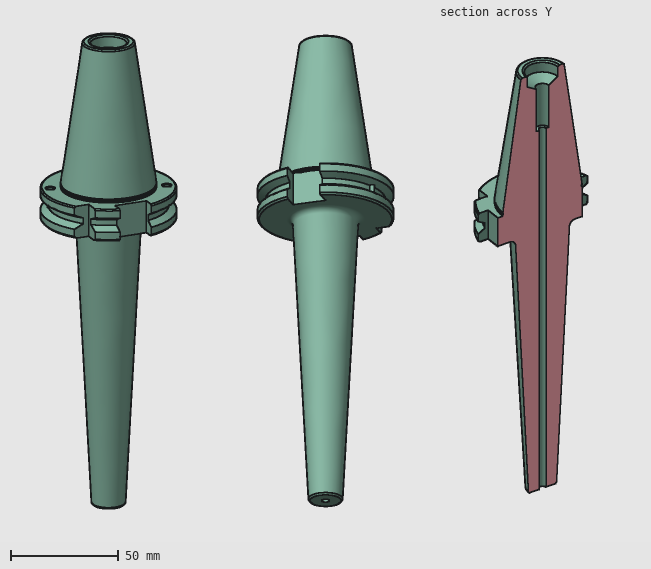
import cadquery as cq
import math


gauge_radius = 22.2
taper_top = 68.3
taper_slope = 7 / 48
taper_skirt = 1.5
relief_depth = 0.5
relief_width = 1.1
top_chamfer = 0.7

flange_radius = 31.7
flange_top = -3.5
flange_bottom = -19.2
flange_top_chamfer = 0.7
flange_bottom_chamfer = 1.0
groove_middle = -11.2
groove_floor_radius = 28.0
groove_floor_width = 2.7
groove_flank_angle = 30

slot_width = 16
left_slot_distance = 22.4
right_slot_distance = 25.1
notch_distance = 18.5

coolant_circle_radius = 27.2
coolant_hole_radius = 1.8
coolant_hole_chamfer = 0.5
coolant_hole_angles = (70, 250)
coolant_hole_bottom = groove_middle - groove_floor_width / 2

total_length = 228.5
nose_bottom = taper_top - total_length
nose_tip_radius = 8.0
nose_half_angle = 3
nose_root_fillet = 3.0
nose_chamfer_height = 1.0
nose_chamfer_width = 0.7

bore_mouth_radius = 9.4
bore_mouth_chamfer = 0.7
counterbore_radius = 8.5
counterbore_depth = 6.0
seat_radius = 6.9
seat_depth = 6.9
drill_point_half_angle = 59
pilot_radius = 3.5
pilot_chamfer = 0.5
pilot_depth = 32
channel_radius = 1.8


def flange_groove_points():
    """Groove profile from its upper to its lower rim, as (radius, z)."""
    floor_half = groove_floor_width / 2
    groove_depth = flange_radius - groove_floor_radius
    rim_half = floor_half + groove_depth * math.tan(math.radians(groove_flank_angle))
    return [
        (flange_radius, groove_middle + rim_half),
        (groove_floor_radius, groove_middle + floor_half),
        (groove_floor_radius, groove_middle - floor_half),
        (flange_radius, groove_middle - rim_half),
    ]


def turned_body():
    top_radius = gauge_radius - taper_top * taper_slope
    skirt_radius = gauge_radius + taper_skirt * taper_slope
    nose_slope = math.tan(math.radians(nose_half_angle))
    fillet_end = flange_bottom - nose_root_fillet
    fillet_end_radius = nose_tip_radius + (fillet_end - nose_bottom) * nose_slope
    fillet_start_radius = fillet_end_radius + nose_root_fillet
    fillet_inset = nose_root_fillet * (1 - math.sqrt(0.5))
    fillet_middle = (fillet_end_radius + fillet_inset, flange_bottom - fillet_inset)
    chamfer_top = nose_bottom + nose_chamfer_height

    profile = (
        cq.Workplane("XZ")
        .moveTo(0, taper_top)
        .lineTo(top_radius - top_chamfer, taper_top)
        .lineTo(top_radius + top_chamfer * taper_slope, taper_top - top_chamfer)
        .lineTo(skirt_radius, -taper_skirt)
        .lineTo(skirt_radius - relief_depth, -taper_skirt - relief_width / 2)
        .lineTo(skirt_radius, -taper_skirt - relief_width)
        .lineTo(skirt_radius, flange_top)
        .lineTo(flange_radius - flange_top_chamfer, flange_top)
        .lineTo(flange_radius, flange_top - flange_top_chamfer)
    )
    for radius, height in flange_groove_points():
        profile = profile.lineTo(radius, height)
    return (
        profile.lineTo(flange_radius, flange_bottom + flange_bottom_chamfer)
        .lineTo(flange_radius - flange_bottom_chamfer, flange_bottom)
        .lineTo(fillet_start_radius, flange_bottom)
        .threePointArc(fillet_middle, (fillet_end_radius, fillet_end))
        .lineTo(nose_tip_radius + nose_chamfer_height * nose_slope, chamfer_top)
        .lineTo(nose_tip_radius - nose_chamfer_width, nose_bottom)
        .lineTo(0, nose_bottom)
        .close()
        .revolve(360, (0, 0), (0, 1))
    )


def stepped_bore():
    pilot_mouth_radius = pilot_radius + pilot_chamfer
    floor_drop = (seat_radius - pilot_mouth_radius) / math.tan(math.radians(drill_point_half_angle))
    pilot_top = taper_top - seat_depth - floor_drop
    return (
        cq.Workplane("XZ")
        .moveTo(0, taper_top)
        .lineTo(bore_mouth_radius, taper_top)
        .lineTo(counterbore_radius, taper_top - bore_mouth_chamfer)
        .lineTo(counterbore_radius, taper_top - counterbore_depth)
        .lineTo(seat_radius, taper_top - seat_depth)
        .lineTo(pilot_mouth_radius, pilot_top)
        .lineTo(pilot_radius, pilot_top - pilot_chamfer)
        .lineTo(pilot_radius, taper_top - pilot_depth)
        .lineTo(channel_radius, taper_top - pilot_depth)
        .lineTo(channel_radius, nose_bottom)
        .lineTo(0, nose_bottom)
        .close()
        .revolve(360, (0, 0), (0, 1))
    )


def flange_cut(x_min, x_max, y_min, y_max):
    """Block that removes part of the flange, over its whole thickness."""
    return cq.Workplane("XY").box(
        x_max - x_min, y_max - y_min, flange_top - flange_bottom, centered=False
    ).translate((x_min, y_min, flange_bottom))


def coolant_hole(angle):
    """Drilled hole with a conical end, standing at the given angle about the tool axis."""
    point_height = coolant_hole_radius / math.tan(math.radians(drill_point_half_angle))
    return (
        cq.Workplane("XZ")
        .moveTo(0, flange_top)
        .lineTo(coolant_hole_radius + coolant_hole_chamfer, flange_top)
        .lineTo(coolant_hole_radius, flange_top - coolant_hole_chamfer)
        .lineTo(coolant_hole_radius, coolant_hole_bottom)
        .lineTo(0, coolant_hole_bottom - point_height)
        .close()
        .revolve(360, (0, 0), (0, 1))
        .translate((coolant_circle_radius, 0, 0))
        .rotate((0, 0, 0), (0, 0, 1), angle)
    )


left_slot = flange_cut(-flange_radius, -left_slot_distance, -slot_width / 2, slot_width / 2)
right_slot = flange_cut(right_slot_distance, flange_radius, -slot_width / 2, slot_width / 2)
corner_notch = flange_cut(notch_distance, flange_radius, -flange_radius, -notch_distance)

result = turned_body()
for cut in (stepped_bore(), left_slot, right_slot, corner_notch):
    result = result.cut(cut)
for hole_angle in coolant_hole_angles:
    result = result.cut(coolant_hole(hole_angle))